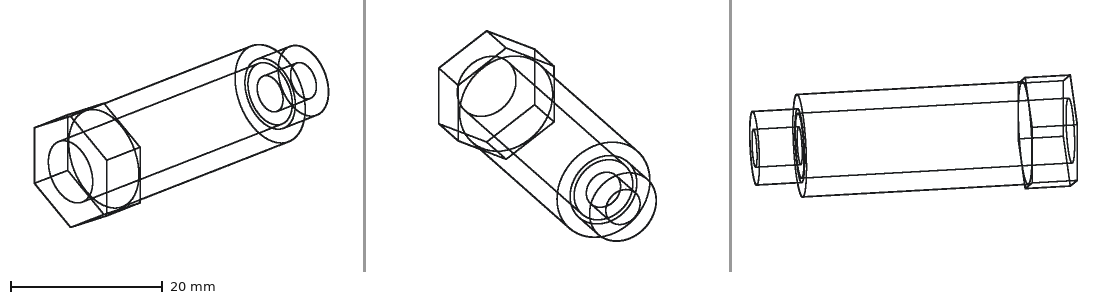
import cadquery as cq
import math

total_length = 42.0
head_length = 6.0
tip_length = 6.0
shoulder_y = total_length - tip_length

head_across_flats = 14.0
head_across_corners = head_across_flats / math.cos(math.radians(30))
body_diameter = 13.55
tip_diameter = 9.75
bore_diameter = 8.55
through_hole_diameter = 5.0

bore_depth = shoulder_y


def cylinder(diameter, start_y, end_y):
    """Round bar along +Y between two stations."""
    plane = cq.Workplane("XZ", origin=(0, start_y, 0))
    return plane.circle(diameter / 2).extrude(start_y - end_y)


def hex_head():
    """Hexagonal head with corners up and down and flats facing +X and -X."""
    profile = cq.Workplane("XZ").transformed(rotate=(0, 0, 90))
    return profile.polygon(6, head_across_corners).extrude(-head_length)


body = cylinder(body_diameter, head_length, shoulder_y)
tip = cylinder(tip_diameter, shoulder_y, total_length)
outside = hex_head().union(body).union(tip)

bore = cylinder(bore_diameter, 0, bore_depth)
through_hole = cylinder(through_hole_diameter, 0, total_length)

result = outside.cut(bore).cut(through_hole)